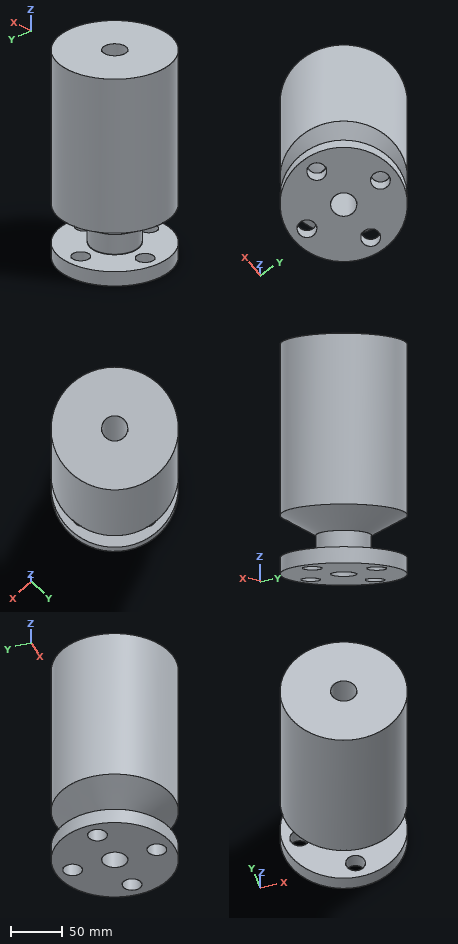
import cadquery as cq

total_height = 227.0
outer_diameter = 124.0

flange_thickness = 16.0
bolt_circle_diameter = 88.5
bolt_hole_diameter = 19.0
bolt_hole_count = 4

neck_diameter = 54.0
neck_length = 22.5
neck_rounding = 0.7
foot_height = 0.5
cone_height = 19.7
bore_diameter = 25.5

outer_radius = outer_diameter / 2
neck_radius = neck_diameter / 2
foot_radius = neck_radius - neck_rounding
foot_top = flange_thickness + foot_height
neck_top = flange_thickness + neck_length
cone_top = neck_top + cone_height


def turned_body():
    """Flange, neck, cone and cylinder revolved about Z as one solid.

    The neck's lower edge is rounded down to a thin, narrower foot on the flange.
    """
    profile = (
        cq.Workplane("XZ")
        .moveTo(0, 0)
        .lineTo(outer_radius, 0)
        .lineTo(outer_radius, flange_thickness)
        .lineTo(foot_radius, flange_thickness)
        .lineTo(foot_radius, foot_top)
        .radiusArc((neck_radius, foot_top + neck_rounding), -neck_rounding)
        .lineTo(neck_radius, neck_top)
        .lineTo(outer_radius, cone_top)
        .lineTo(outer_radius, total_height)
        .lineTo(0, total_height)
        .close()
    )
    return profile.revolve(360, (0, 0, 0), (0, 1, 0))


def bolt_holes():
    """Cutters for the flange holes, spaced evenly from the X axis."""
    return (
        cq.Workplane("XY")
        .polarArray(bolt_circle_diameter / 2, 0, 360, bolt_hole_count)
        .circle(bolt_hole_diameter / 2)
        .extrude(flange_thickness)
    )


bore = cq.Workplane("XY").circle(bore_diameter / 2).extrude(total_height)

result = turned_body().cut(bolt_holes()).cut(bore)